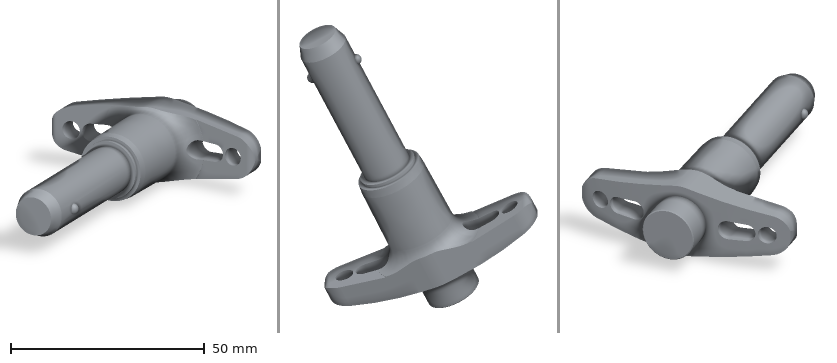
import cadquery as cq
import math


total_length = 82.8
shank_diameter = 12.8
shank_radius = shank_diameter / 2
tip_radius = 5.1
tip_length = 3.5
ball_radius = 1.4
ball_reach = 7.6
ball_y = 10.3

ring_radius = 7.7
ring_start = 42.2
collar_start = 43.2
collar_end_radius = 8.7
collar_band_y = 45.45
collar_band_radius = 8.95
collar_radius = 9.2
button_radius = 7.2
button_chamfer = 0.25

handle_top = 74.7
handle_length = 59.1
handle_width = 20.3
end_radius = 5.9
half_length = handle_length / 2
end_center = half_length - end_radius
tip_top_x = 29.3
tip_top_y = 71.05
crown_flat_x = 5.0
crown_run = tip_top_x - crown_flat_x
crown_drop = handle_top - tip_top_y
crown_radius = (crown_run**2 + crown_drop**2) / (2 * crown_drop)
underside_center_y = 68.7
underside_slope = 0.1
end_overrun = 0.25
end_fillet = 1.8

flare_radius = 5.0
flare_center_radius = collar_radius + flare_radius
underside_angle = math.atan(underside_slope)
flare_outer_radius = flare_center_radius + flare_radius * math.sin(underside_angle)
flare_top = underside_center_y - underside_slope * flare_outer_radius
flare_start = flare_top - flare_radius * math.cos(underside_angle)

hole_radius = 2.4
hole_x = 23.5
slot_inner_radius = 2.65
slot_inner_x = 13.1
slot_outer_x = 18.05


def point_on_circle(x_center, radius, angle):
    return (x_center + radius * math.cos(angle), radius * math.sin(angle))


def two_circle_prism(x1, radius1, x2, radius2):
    """Prism along Y around two circles on the X axis, joined by their outer tangents."""
    angle = math.acos((radius1 - radius2) / (x2 - x1))
    start_low = point_on_circle(x1, radius1, -angle)
    start_high = point_on_circle(x1, radius1, angle)
    end_low = point_on_circle(x2, radius2, -angle)
    end_high = point_on_circle(x2, radius2, angle)
    return (
        cq.Workplane("XZ")
        .moveTo(*start_low)
        .lineTo(*end_low)
        .threePointArc((x2 + radius2, 0), end_high)
        .lineTo(*start_high)
        .threePointArc((x1 - radius1, 0), start_low)
        .close()
        .extrude(-total_length)
    )


def mirrored_pair(body):
    return body.union(body.mirror("YZ"))


def revolve_about_pin(profile):
    return profile.close().revolve(360, (0, 0, 0), (0, 1, 0))


def make_pin():
    """Shank, stop ring, tapered collar and push button as one turned body."""
    profile = cq.Workplane("XY").polyline([
        (0, 0),
        (tip_radius, 0),
        (shank_radius, tip_length),
        (shank_radius, ring_start),
        (ring_radius, ring_start),
        (ring_radius, collar_start),
        (collar_end_radius, collar_start),
        (collar_band_radius, collar_band_y),
        (collar_radius, flare_start),
        (collar_radius, flare_top),
        (button_radius, flare_top),
        (button_radius, total_length - button_chamfer),
        (button_radius - button_chamfer, total_length),
        (0, total_length),
    ])
    return revolve_about_pin(profile)


def make_flare():
    arc_offset = flare_radius * math.sqrt(0.5)
    arc_middle = (flare_center_radius - arc_offset, flare_start + arc_offset)
    flare_inside_y = (flare_top + handle_top) / 2
    profile = (
        cq.Workplane("XY")
        .moveTo(0, flare_start)
        .lineTo(collar_radius, flare_start)
        .threePointArc(arc_middle, (flare_outer_radius, flare_top))
        .lineTo(flare_outer_radius, flare_inside_y)
        .lineTo(0, flare_inside_y)
    )
    return revolve_about_pin(profile)


def make_handle_section():
    """Bar with a flat-centred crown, a slightly sloping underside and rounded lower corners."""
    end_x = half_length + end_overrun
    end_y = underside_center_y - underside_slope * end_x
    half_run = crown_run / 2
    crown_x = crown_flat_x + half_run
    crown_y = handle_top - crown_radius + math.sqrt(crown_radius**2 - half_run**2)
    arm = (
        cq.Workplane("XY")
        .moveTo(0, underside_center_y)
        .lineTo(end_x, end_y)
        .lineTo(tip_top_x, tip_top_y)
        .threePointArc((crown_x, crown_y), (crown_flat_x, handle_top))
        .lineTo(0, handle_top)
        .close()
        .extrude(handle_width / 2, both=True)
    )
    arm = arm.edges(cq.selectors.NearestToPointSelector((end_x, end_y, 0))).fillet(end_fillet)
    return mirrored_pair(arm)


def make_handle():
    outline = mirrored_pair(two_circle_prism(0, handle_width / 2, end_center, end_radius))
    handle = make_handle_section().union(make_flare()).intersect(outline)
    slot = two_circle_prism(slot_inner_x, slot_inner_radius, slot_outer_x, hole_radius)
    hole = cq.Workplane("XZ").center(hole_x, 0).circle(hole_radius).extrude(-total_length)
    return handle.cut(mirrored_pair(slot)).cut(mirrored_pair(hole))


def make_locking_balls():
    ball = cq.Workplane("XY").sphere(ball_radius).translate((ball_reach - ball_radius, ball_y, 0))
    return mirrored_pair(ball)


result = make_pin().union(make_handle()).union(make_locking_balls())